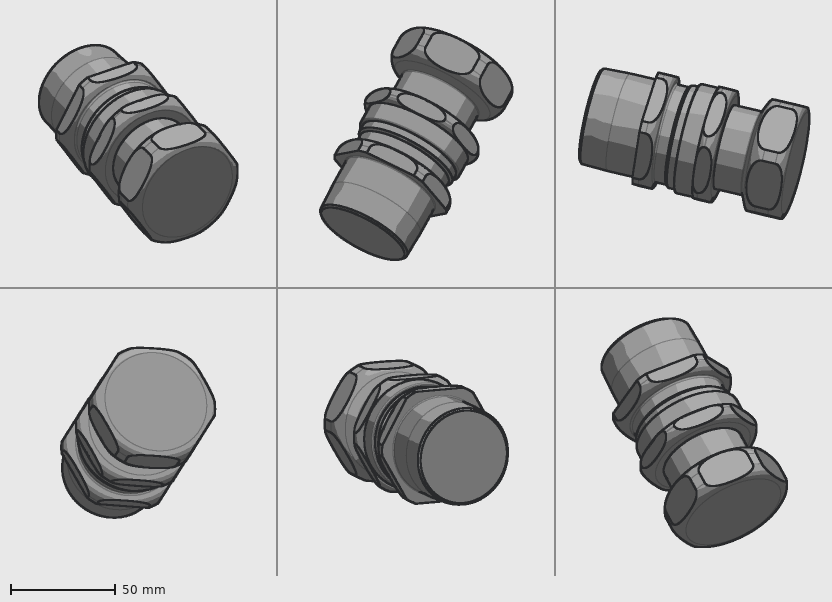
import cadquery as cq
import math

TOTAL_LENGTH = 101.6
ACROSS_FLATS = 55.0
CORNER_RADIUS = 60.5 / 2
CROWN_ROUND = 5.2

ENTRY_FACE_RADIUS = 22.7
ENTRY_CHAMFER = 1.0
TAPER_END_X = 13.8
ENTRY_RADIUS = 48.3 / 2
ENTRY_HEX_START_X = 28.6
ENTRY_HEX_END_X = 37.0
ENTRY_FRONT_FILLET = 0.5
ENTRY_REAR_FILLET = 0.8
RELIEF_END_X = 43.3
THREAD_RADIUS = 50.8 / 2

SLEEVE_START_X = 48.4
SLEEVE_RADIUS = 53.9 / 2
SLEEVE_ROUND = 0.6
COUPLING_HEX_START_X = 57.7
COUPLING_HEX_END_X = 66.4

STEM_RADIUS = 41.4 / 2
HEAD_ROUND = 7.7
HEAD_ROUND_END_X = 89.9
HEAD_CONE_ANGLE = math.radians(65)
HEAD_FILLET = 0.6


def revolved(profile):
    """Turn a closed (x, radius) profile about the X axis."""
    return profile.close().revolve(360, (0, 0, 0), (1, 0, 0))


def cylinder(start_x, end_x, radius):
    return cq.Workplane("YZ").workplane(offset=start_x).circle(radius).extrude(end_x - start_x)


def hexagon_bar(start_x, end_x):
    """Hexagonal bar with two flats facing up and down."""
    across_corners = ACROSS_FLATS / math.cos(math.pi / 6)
    bar = cq.Workplane("YZ").workplane(offset=start_x).polygon(6, across_corners)
    return bar.extrude(end_x - start_x)


def hexagon(start_x, end_x, envelope):
    return hexagon_bar(start_x, end_x).intersect(envelope)


def make_entry_body():
    taper_start_radius = ENTRY_FACE_RADIUS + ENTRY_CHAMFER
    front_fillet_x = ENTRY_HEX_START_X - ENTRY_FRONT_FILLET
    rear_fillet_x = ENTRY_HEX_END_X + ENTRY_REAR_FILLET
    front_fillet_radius = ENTRY_RADIUS + ENTRY_FRONT_FILLET
    rear_fillet_radius = ENTRY_RADIUS + ENTRY_REAR_FILLET
    thread_chamfer = THREAD_RADIUS - ENTRY_RADIUS
    diagonal = math.sqrt(0.5)
    front_mid = (
        front_fillet_x + ENTRY_FRONT_FILLET * diagonal,
        front_fillet_radius - ENTRY_FRONT_FILLET * diagonal,
    )
    rear_mid = (
        rear_fillet_x - ENTRY_REAR_FILLET * diagonal,
        rear_fillet_radius - ENTRY_REAR_FILLET * diagonal,
    )
    shaft = revolved(
        cq.Workplane("XY")
        .moveTo(0, 0)
        .lineTo(0, ENTRY_FACE_RADIUS)
        .lineTo(ENTRY_CHAMFER, taper_start_radius)
        .lineTo(TAPER_END_X, ENTRY_RADIUS)
        .lineTo(front_fillet_x, ENTRY_RADIUS)
        .threePointArc(front_mid, (ENTRY_HEX_START_X, front_fillet_radius))
        .lineTo(ENTRY_HEX_END_X, rear_fillet_radius)
        .threePointArc(rear_mid, (rear_fillet_x, ENTRY_RADIUS))
        .lineTo(RELIEF_END_X, ENTRY_RADIUS)
        .lineTo(RELIEF_END_X + thread_chamfer, THREAD_RADIUS)
        .lineTo(COUPLING_HEX_START_X, THREAD_RADIUS)
        .lineTo(COUPLING_HEX_START_X, 0)
    )
    envelope = cylinder(ENTRY_HEX_START_X, ENTRY_HEX_END_X, CORNER_RADIUS)
    envelope = envelope.faces(">X").edges().fillet(CROWN_ROUND)
    return shaft.union(hexagon(ENTRY_HEX_START_X, ENTRY_HEX_END_X, envelope))


def make_coupling_nut():
    sleeve = cylinder(SLEEVE_START_X, COUPLING_HEX_START_X, SLEEVE_RADIUS)
    sleeve = sleeve.faces("<X").edges().fillet(SLEEVE_ROUND)

    front_round = CORNER_RADIUS - SLEEVE_RADIUS
    envelope = cylinder(COUPLING_HEX_START_X, COUPLING_HEX_END_X, CORNER_RADIUS)
    envelope = envelope.faces("<X").edges().fillet(front_round)
    envelope = envelope.faces(">X").edges().fillet(CROWN_ROUND)
    nut = sleeve.union(hexagon(COUPLING_HEX_START_X, COUPLING_HEX_END_X, envelope))

    thread_bore = cylinder(SLEEVE_START_X, COUPLING_HEX_START_X, THREAD_RADIUS)
    stem_bore = cylinder(COUPLING_HEX_START_X, COUPLING_HEX_END_X, STEM_RADIUS)
    return nut.cut(thread_bore).cut(stem_bore)


def make_gland_nut():
    sine = math.sin(HEAD_CONE_ANGLE)
    cosine = math.cos(HEAD_CONE_ANGLE)
    round_center_radius = CORNER_RADIUS - HEAD_ROUND
    cone_end_x = HEAD_ROUND_END_X - HEAD_ROUND * sine
    cone_end_radius = round_center_radius + HEAD_ROUND * cosine
    cone_start_x = cone_end_x - (cone_end_radius - STEM_RADIUS) / math.tan(HEAD_CONE_ANGLE)

    fillet_start_x = cone_start_x - HEAD_FILLET * math.tan(HEAD_CONE_ANGLE / 2)
    fillet_end_x = fillet_start_x + HEAD_FILLET * sine
    fillet_end_radius = STEM_RADIUS + HEAD_FILLET * (1 - cosine)
    fillet_mid = (
        fillet_start_x + HEAD_FILLET * math.sin(HEAD_CONE_ANGLE / 2),
        STEM_RADIUS + HEAD_FILLET * (1 - math.cos(HEAD_CONE_ANGLE / 2)),
    )
    round_mid = (
        HEAD_ROUND_END_X - HEAD_ROUND * math.sin(HEAD_CONE_ANGLE / 2),
        round_center_radius + HEAD_ROUND * math.cos(HEAD_CONE_ANGLE / 2),
    )
    envelope = revolved(
        cq.Workplane("XY")
        .moveTo(COUPLING_HEX_START_X, 0)
        .lineTo(COUPLING_HEX_START_X, STEM_RADIUS)
        .lineTo(fillet_start_x, STEM_RADIUS)
        .threePointArc(fillet_mid, (fillet_end_x, fillet_end_radius))
        .lineTo(cone_end_x, cone_end_radius)
        .threePointArc(round_mid, (HEAD_ROUND_END_X, CORNER_RADIUS))
        .lineTo(TOTAL_LENGTH, CORNER_RADIUS)
        .lineTo(TOTAL_LENGTH, 0)
    )
    envelope = envelope.faces(">X").edges().fillet(CROWN_ROUND)
    return hexagon(COUPLING_HEX_START_X, TOTAL_LENGTH, envelope)


entry_body = make_entry_body()
coupling_nut = make_coupling_nut()
gland_nut = make_gland_nut()

result = cq.Compound.makeCompound([
    entry_body.solids().val(),
    coupling_nut.solids().val(),
    gland_nut.solids().val(),
])